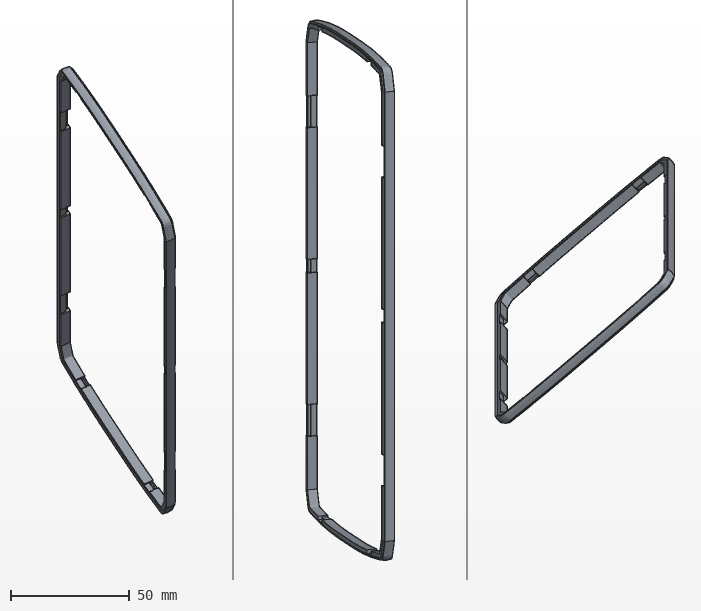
import cadquery as cq
import math

WIDTH = 97.5
HEIGHT = 220.0
DEPTH = 4.8

CROWN_FLAT_HALF = 8.8
CORNER_X = 45.5
CORNER_Z = 107.0
SHOULDER_Z = 97.7
CORNER_RADIUS = 4.0

FRONT_Y = -DEPTH / 2
BACK_Y = DEPTH / 2
RIDGE_Y = -0.5
STEP_Y = 1.8
PLATE_BACK_Y = 0.7
VALLEY_DEPTH = 0.5

DRAFT = math.radians(6)
FRONT_INSET = (RIDGE_Y - FRONT_Y) * math.tan(DRAFT)
STEP_INSET = (STEP_Y - RIDGE_Y) * math.tan(DRAFT)
FLANGE_INSET = 1.0
VALLEY_INSET = 1.3
WALL_INSET = 1.5
INNER_INSET = 3.0
LIP_THICKNESS = 0.7
NOTCH_INSET = INNER_INSET - LIP_THICKNESS

SIDE_NOTCH_Z = 67.1
SIDE_NOTCH_LENGTH = 13.9
MIDDLE_NOTCH_LENGTH = 6.0
END_NOTCH_X = 30.4
END_NOTCH_LENGTH = 4.8
NOTCH_REACH = 13.2


def ridge_wire():
    """Closed outline of the ridge: straight sides, slanted corners, crowned ends."""
    half_width = WIDTH / 2
    half_height = HEIGHT / 2
    run = CORNER_X - CROWN_FLAT_HALF
    drop = half_height - CORNER_Z
    crown_radius = (run**2 + drop**2) / (2 * drop)
    half_angle = math.asin(run / crown_radius) / 2
    mid_x = CROWN_FLAT_HALF + crown_radius * math.sin(half_angle)
    mid_z = half_height - crown_radius * (1 - math.cos(half_angle))
    outline = (
        cq.Workplane("XZ")
        .moveTo(half_width, -SHOULDER_Z)
        .lineTo(half_width, SHOULDER_Z)
        .lineTo(CORNER_X, CORNER_Z)
        .threePointArc((mid_x, mid_z), (CROWN_FLAT_HALF, half_height))
        .lineTo(-CROWN_FLAT_HALF, half_height)
        .threePointArc((-mid_x, mid_z), (-CORNER_X, CORNER_Z))
        .lineTo(-half_width, SHOULDER_Z)
        .lineTo(-half_width, -SHOULDER_Z)
        .lineTo(-CORNER_X, -CORNER_Z)
        .threePointArc((-mid_x, -mid_z), (-CROWN_FLAT_HALF, -half_height))
        .lineTo(CROWN_FLAT_HALF, -half_height)
        .threePointArc((mid_x, -mid_z), (CORNER_X, -CORNER_Z))
        .close()
        .val()
    )
    corners = [v for v in outline.Vertices() if (SHOULDER_Z + CORNER_Z) / 2 < abs(v.Z) < mid_z]
    return outline.fillet2D(CORNER_RADIUS, corners)


RIDGE = ridge_wire()


def outline_at(inset, y):
    """The ridge outline moved inward by `inset` and placed at depth `y`."""
    wire = RIDGE.offset2D(-inset, "intersection")[0] if inset else RIDGE
    return wire.translate(cq.Vector(0, y, 0))


def slab(inset_a, y_a, inset_b, y_b):
    """Solid plate between two inset outlines at two depths."""
    wires = [outline_at(inset_a, y_a), outline_at(inset_b, y_b)]
    return cq.Workplane(cq.Solid.makeLoft(wires, True))


def plate(inset, y_a, y_b):
    """Straight-walled plate of one inset outline between two depths."""
    return cq.Workplane(cq.Solid.extrudeLinear(outline_at(inset, y_a), [], cq.Vector(0, y_b - y_a, 0)))


def frame():
    """The plain closed frame, with its recessed front and its back flange."""
    valley_y = FRONT_Y + VALLEY_DEPTH
    body = slab(FRONT_INSET, FRONT_Y, 0, RIDGE_Y)
    body = body.union(slab(0, RIDGE_Y, STEP_INSET, STEP_Y))
    body = body.union(plate(FLANGE_INSET, STEP_Y, BACK_Y))
    body = body.cut(slab(FRONT_INSET, FRONT_Y, VALLEY_INSET, valley_y))
    return body.cut(plate(INNER_INSET, FRONT_Y, BACK_Y))


def side_blocks():
    """Blocks across the straight sides, one at each side notch."""
    stretches = [(0, MIDDLE_NOTCH_LENGTH)]
    stretches += [(sign * SIDE_NOTCH_Z, SIDE_NOTCH_LENGTH) for sign in (-1, 1)]
    blocks = cq.Workplane()
    for x in (-WIDTH / 2, WIDTH / 2):
        for z, length in stretches:
            block = cq.Workplane().box(NOTCH_REACH, DEPTH, length)
            blocks = blocks.add(block.translate((x, 0, z)))
    return blocks.combine()


def end_blocks():
    """Blocks through both crowned ends, one at each pair of end notches."""
    return (
        cq.Workplane()
        .rarray(2 * END_NOTCH_X, 2.2, 2, 1)
        .box(END_NOTCH_LENGTH, DEPTH, HEIGHT)
    )


def cut_notches(body):
    """Take the inner lip off at every notch, and the back flange at the side notches."""
    inner_lip = plate(NOTCH_INSET, FRONT_Y, BACK_Y).union(plate(WALL_INSET, PLATE_BACK_Y, BACK_Y))
    inner_lip_and_flange = inner_lip.union(plate(0, STEP_Y, BACK_Y))
    body = body.cut(inner_lip_and_flange.intersect(side_blocks()))
    return body.cut(inner_lip.intersect(end_blocks()))


result = cut_notches(frame())